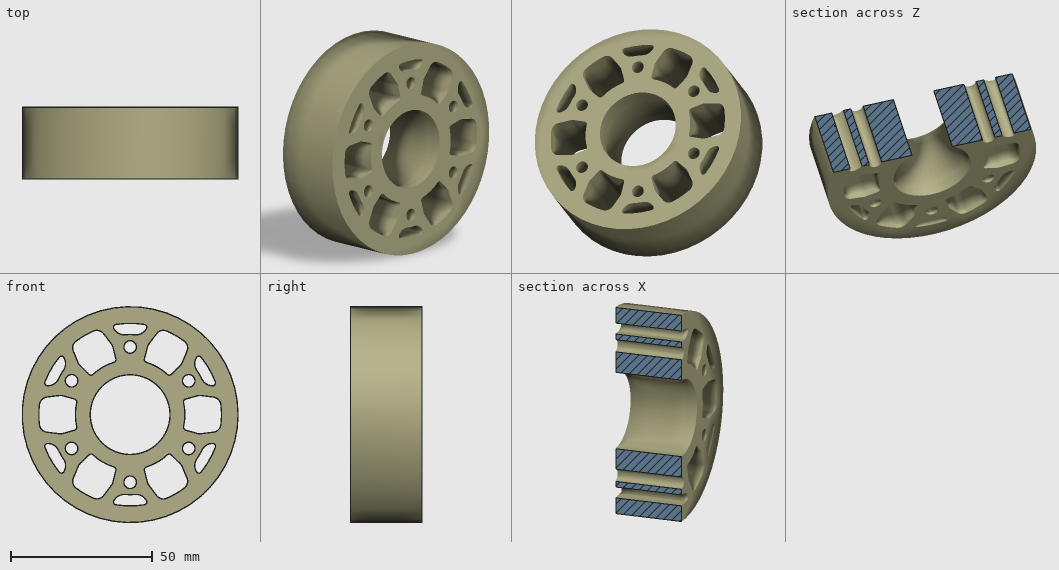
import cadquery as cq
import math

outer_diameter = 76.2
width = 25.4
bore_diameter = 28.05

hub_radius = 19.35
rim_inner_radius = 32.15

spoke_count = 6
spoke_pitch = 360 / spoke_count

bolt_circle_radius = 23.85
bolt_hole_diameter = 4.35

window_hub_half_height = 5.2
window_bend_half_height = 6.8
window_bend_x = 24.3
window_rim_half_height = 5.9
window_hub_fillet = 1.0
window_fillet = 3.0

slot_floor_radius = 28.3
slot_floor_half_length = 4.0
slot_roof_half_length = 6.6
slot_floor_fillet = 4.0
slot_roof_fillet = 1.0


def reach_on_circle(radius, half_width):
    """Distance from the axis, along an opening's centreline, of a point on a circle."""
    return math.sqrt(radius**2 - half_width**2)


def back_face_sketch():
    """Workplane on the +Y face; extruding by the width reaches the -Y face."""
    return cq.Workplane("XZ", origin=(0, width / 2, 0))


def wheel_blank():
    """Plain cylinder with the axle bore."""
    return (
        back_face_sketch()
        .circle(outer_diameter / 2)
        .circle(bore_diameter / 2)
        .extrude(width)
    )


def window():
    """Opening along +X between hub and rim, with sides bent outward near their middle."""
    hub_x = reach_on_circle(hub_radius, window_hub_half_height)
    rim_x = reach_on_circle(rim_inner_radius, window_rim_half_height)
    prism = (
        back_face_sketch()
        .moveTo(hub_x, -window_hub_half_height)
        .lineTo(window_bend_x, -window_bend_half_height)
        .lineTo(rim_x, -window_rim_half_height)
        .threePointArc((rim_inner_radius, 0), (rim_x, window_rim_half_height))
        .lineTo(window_bend_x, window_bend_half_height)
        .lineTo(hub_x, window_hub_half_height)
        .threePointArc((hub_radius, 0), (hub_x, -window_hub_half_height))
        .close()
        .extrude(width)
    )
    return (
        prism
        .edges("|Y").edges("<X").fillet(window_hub_fillet)
        .edges("|Y").edges("<Z or >Z or >X").fillet(window_fillet)
    )


def rim_slot():
    """Opening across +Z whose floor and roof are both concentric with the wheel."""
    floor_z = reach_on_circle(slot_floor_radius, slot_floor_half_length)
    roof_z = reach_on_circle(rim_inner_radius, slot_roof_half_length)
    prism = (
        back_face_sketch()
        .moveTo(-slot_floor_half_length, floor_z)
        .threePointArc((0, slot_floor_radius), (slot_floor_half_length, floor_z))
        .lineTo(slot_roof_half_length, roof_z)
        .threePointArc((0, rim_inner_radius), (-slot_roof_half_length, roof_z))
        .close()
        .extrude(width)
    )
    return (
        prism
        .edges("|Y").edges("<Z").fillet(slot_floor_fillet)
        .edges("|Y").edges(">Z").fillet(slot_roof_fillet)
    )


def bolt_hole():
    """Through hole on the +Z centreline."""
    return (
        back_face_sketch()
        .center(0, bolt_circle_radius)
        .circle(bolt_hole_diameter / 2)
        .extrude(width)
    )


def at_spoke(opening, index):
    """Copy of an opening turned about the wheel axis to the given position."""
    return opening.rotate((0, 0, 0), (0, 1, 0), index * spoke_pitch)


result = wheel_blank()
for opening in (window(), rim_slot(), bolt_hole()):
    for index in range(spoke_count):
        result = result.cut(at_spoke(opening, index))